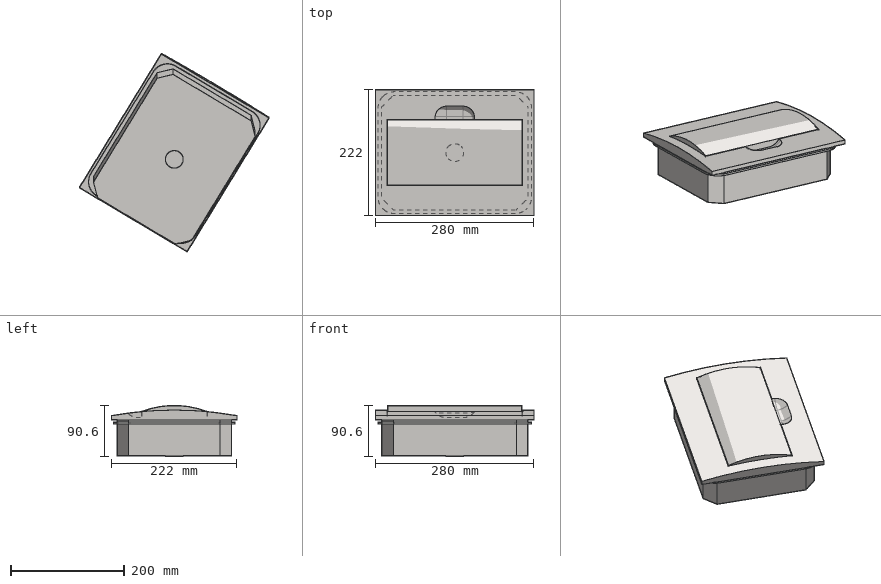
import cadquery as cq

box_length = 258.0
box_width = 202.0
box_height = 63.5
box_corner_chamfer = 20.5

collar_length = 271.0
collar_width = 215.0
collar_thickness = 3.2
collar_corner_radius = 29.0
collar_gap_to_cover = 4.2

plug_diameter = 31.4
plug_thickness = 1.6

cover_length = 280.0
cover_width = 222.0
cover_edge_thickness = 7.5
cover_crown_thickness = 17.2
cover_edge_z = box_height + cover_edge_thickness
cover_crown_z = box_height + cover_crown_thickness

door_length = 237.0
door_width = 114.6
door_gap = 1.0
door_edge_z = 78.5
door_crown_z = 89.0

recess_length = 79.0
recess_end_y = 88.5
recess_floor_z = 67.3
recess_radius = 25.0


def arched_slab(length, width, bottom_z, edge_z, crown_z):
    """Slab along X with a flat bottom and a top that arches across Y."""
    half_width = width / 2
    return (
        cq.Workplane("YZ")
        .moveTo(-half_width, bottom_z)
        .lineTo(half_width, bottom_z)
        .lineTo(half_width, edge_z)
        .threePointArc((0, crown_z), (-half_width, edge_z))
        .close()
        .extrude(length / 2, both=True)
    )


def box_outline(base_z, height):
    return (
        cq.Workplane("XY", origin=(0, 0, base_z))
        .rect(box_length, box_width)
        .extrude(height)
        .edges("|Z")
        .chamfer(box_corner_chamfer)
    )


def make_collar():
    base_z = box_height - collar_gap_to_cover - collar_thickness
    plate = (
        cq.Workplane("XY", origin=(0, 0, base_z))
        .rect(collar_length, collar_width)
        .extrude(collar_thickness)
        .edges("|Z")
        .fillet(collar_corner_radius)
    )
    return plate.cut(box_outline(base_z, collar_thickness))


def make_plug():
    return cq.Workplane("XY").circle(plug_diameter / 2).extrude(-plug_thickness)


def door_opening():
    """Straight-sided block that reaches from the box to above the cover."""
    return (
        cq.Workplane("XY", origin=(0, 0, box_height))
        .rect(door_length + 2 * door_gap, door_width + 2 * door_gap)
        .extrude(door_crown_z - box_height)
    )


def finger_recess():
    """Tray from the middle of the door opening outwards, with a flat floor."""
    return (
        cq.Workplane("XY", origin=(0, recess_end_y / 2, recess_floor_z))
        .rect(recess_length, recess_end_y)
        .extrude(2 * recess_radius)
        .edges("|Z and >Y")
        .fillet(recess_radius)
        .faces("<Z")
        .edges("not <Y")
        .fillet(recess_radius)
    )


def make_cover():
    slab = arched_slab(cover_length, cover_width, box_height, cover_edge_z, cover_crown_z)
    return slab.cut(door_opening()).cut(finger_recess())


box = box_outline(0, box_height)
collar = make_collar()
plug = make_plug()
cover = make_cover()
door = arched_slab(door_length, door_width, box_height, door_edge_z, door_crown_z)

result = cq.Compound.makeCompound([box.val(), collar.val(), plug.val(), cover.val(), door.val()])